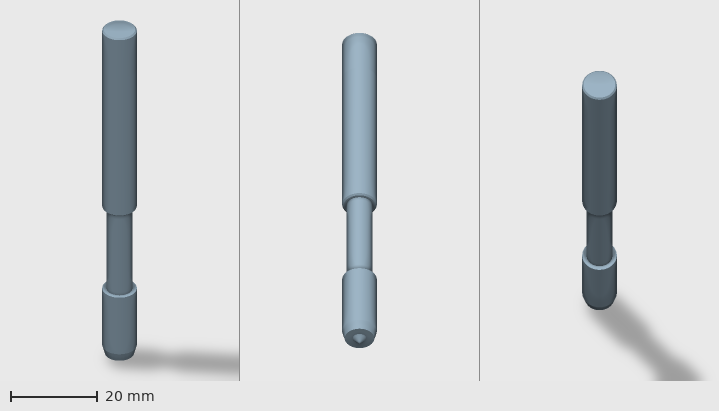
import cadquery as cq

total_length = 91.6
outer_radius = 8.0 / 2
neck_radius = 5.95 / 2

tip_height = 1.6
taper_height = 2.2
head_length = 17.95
neck_length = 22.5
cap_length = 10.9

tip_radius = tip_height
taper_end_radius = 3.4
cap_chamfer = 0.4
barrel_chamfer = 0.4

head_top = tip_height + head_length
neck_top = head_top + neck_length
seam_height = total_length - cap_length


def make_body():
    """Pointed head, slim neck and long barrel, revolved as one piece about Z."""
    profile = [
        (0, 0),
        (tip_radius, tip_height),
        (taper_end_radius, tip_height),
        (outer_radius, tip_height + taper_height),
        (outer_radius, head_top),
        (neck_radius, head_top),
        (neck_radius, neck_top),
        (outer_radius - barrel_chamfer, neck_top),
        (outer_radius, neck_top + barrel_chamfer),
        (outer_radius, seam_height),
        (0, seam_height),
    ]
    return cq.Workplane("XZ").polyline(profile).close().revolve(360, (0, 0, 0), (0, 1, 0))


def make_cap():
    """Cylindrical cap seated flush on the barrel, with a chamfered top edge."""
    cap = cq.Workplane("XY").workplane(offset=seam_height).circle(outer_radius).extrude(cap_length)
    return cap.faces(">Z").edges().chamfer(cap_chamfer)


body = make_body()
cap = make_cap()

result = cq.Compound.makeCompound([body.val(), cap.val()])